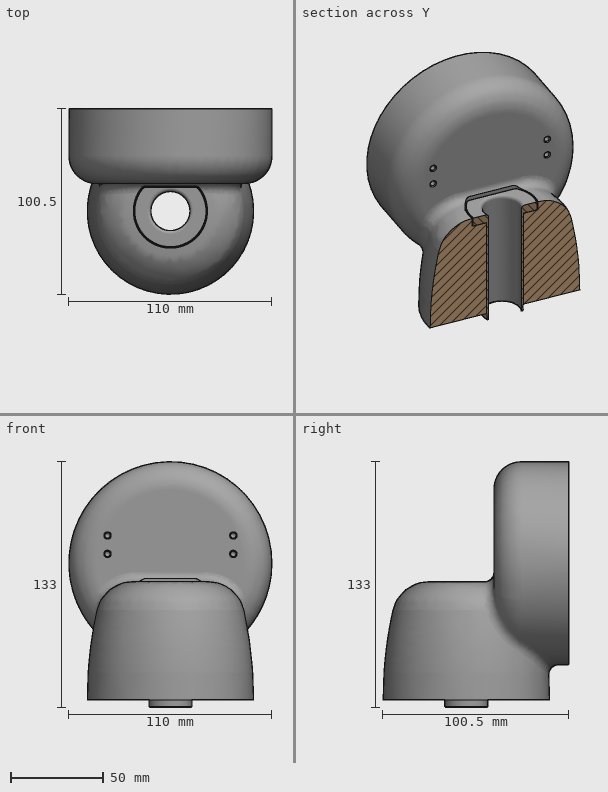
import cadquery as cq
import math


overall_height = 133.0

disk_diameter = 110.0
disk_radius = disk_diameter / 2
disk_front_y = 14.9
disk_depth = 40.5
disk_back_y = disk_front_y + disk_depth
disk_front_round = 14.9
disk_rim_round = 0.4

dome_base_radius = 45.1
dome_base_z = -74.0
dome_lip_height = 0.5
dome_wall_foot_z = dome_base_z + dome_lip_height
dome_top_z = -10.0
dome_wall_radius = 219.5
dome_top_round = 20.0

blend_radius = 5.0
touch_tolerance = 0.001

pilot_mouth_radius = 2.0
pilot_radius = 1.5
pilot_depth = 5.0
pilot_tip_length = 0.8
pilot_x = 34.0
pilot_heights = [5.0, 15.0]

bushing_end_z = disk_radius - overall_height
bushing_hole_radius = 10.5
stem_radius = 11.7
stem_chamfer = 0.5
mouth_round = 2.0
flange_radius = 19.7
flange_flat_y = 13.3
flange_corner_round = 3.3
flange_chamfer = 0.4
flange_thickness = 5.0
flange_gap = 0.4
flange_seat_z = dome_top_z - flange_thickness
recess_corner_round = flange_corner_round + flange_gap
recess_height = flange_thickness + blend_radius


def make_disk():
    """Round disk with a rounded front edge and a softened back rim."""
    disk = (
        cq.Workplane("XZ", origin=(0, disk_back_y, 0))
        .circle(disk_radius)
        .extrude(disk_depth)
    )
    disk = disk.faces("<Y").edges().fillet(disk_front_round)
    return disk.faces(">Y").edges().fillet(disk_rim_round)


def wall_radius_at(z):
    """Dome radius at height z; the wall arc is vertical at its foot."""
    rise = z - dome_wall_foot_z
    return dome_base_radius - dome_wall_radius + math.sqrt(dome_wall_radius**2 - rise**2)


def make_dome():
    """Revolved dome with a short straight lip, a wall that bows inward and a rounded flat top."""
    middle_z = (dome_wall_foot_z + dome_top_z) / 2
    dome = (
        cq.Workplane("XZ")
        .moveTo(0, dome_base_z)
        .lineTo(dome_base_radius, dome_base_z)
        .lineTo(dome_base_radius, dome_wall_foot_z)
        .threePointArc((wall_radius_at(middle_z), middle_z), (wall_radius_at(dome_top_z), dome_top_z))
        .lineTo(0, dome_top_z)
        .close()
        .revolve(360, (0, 0, 0), (0, 1, 0))
    )
    return dome.faces(">Z").edges().fillet(dome_top_round)


def flat_sided_plug(radius, flat_y, corner_round, height):
    """Upright round plug, flat on its +Y side with rounded corners, standing on the flange seat."""
    plug = cq.Workplane("XY", origin=(0, 0, flange_seat_z)).circle(radius).extrude(height)
    flat_cutter = (
        cq.Workplane("XY", origin=(0, flat_y + radius, flange_seat_z))
        .rect(2 * radius, 2 * radius)
        .extrude(height)
    )
    return plug.cut(flat_cutter).edges("|Z and >Y").fillet(corner_round)


def blend_joint(body, parts):
    """Fillet the edges of body that lie on the surfaces of all the joined parts."""
    shells = [part.val().Shells()[0] for part in parts]

    def lies_on_all(edge):
        middle = cq.Vertex.makeVertex(*edge.positionAt(0.5).toTuple())
        return all(shell.distance(middle) < touch_tolerance for shell in shells)

    joint_edges = [edge for edge in body.edges().vals() if lies_on_all(edge)]
    return body.newObject(joint_edges).fillet(blend_radius)


def make_recess():
    """Space for the flange, left open upwards through the blend above it."""
    return flat_sided_plug(
        flange_radius + flange_gap,
        flange_flat_y + flange_gap,
        recess_corner_round,
        recess_height,
    )


def make_pilot(x, z):
    """Cutter for one small blind hole with a chamfered mouth and a conical end."""
    mouth_depth = pilot_mouth_radius - pilot_radius
    return (
        cq.Workplane("XY", origin=(x, disk_front_y, z))
        .lineTo(pilot_mouth_radius, 0)
        .lineTo(pilot_radius, mouth_depth)
        .lineTo(pilot_radius, pilot_depth)
        .lineTo(0, pilot_depth + pilot_tip_length)
        .close()
        .revolve(360, (0, 0, 0), (0, 1, 0))
    )


def make_housing():
    """Disk and dome in one body, bored for the bushing and drilled with the small holes."""
    disk = make_disk()
    dome = make_dome()
    housing = blend_joint(disk.union(dome), [disk, dome])
    stem_bore = (
        cq.Workplane("XY", origin=(0, 0, dome_base_z))
        .circle(stem_radius)
        .extrude(dome_top_z - dome_base_z)
    )
    housing = housing.cut(stem_bore).cut(make_recess())
    for x in (-pilot_x, pilot_x):
        for z in pilot_heights:
            housing = housing.cut(make_pilot(x, z))
    return housing


def make_bushing():
    """Flanged tube with a rounded mouth; its stem ends below the dome."""
    stem = (
        cq.Workplane("XY", origin=(0, 0, bushing_end_z))
        .circle(stem_radius)
        .extrude(flange_seat_z - bushing_end_z)
        .faces("<Z")
        .edges()
        .chamfer(stem_chamfer)
    )
    flange = flat_sided_plug(flange_radius, flange_flat_y, flange_corner_round, flange_thickness)
    flange = flange.faces(">Z").edges().chamfer(flange_chamfer)
    hole = (
        cq.Workplane("XY", origin=(0, 0, bushing_end_z))
        .circle(bushing_hole_radius)
        .extrude(dome_top_z - bushing_end_z)
    )
    bushing = stem.union(flange).cut(hole)
    mouth = bushing.faces(">Z").val().innerWires()[0]
    return bushing.newObject(mouth.Edges()).fillet(mouth_round)


housing = make_housing()
bushing = make_bushing()

result = cq.Compound.makeCompound([housing.solids().val(), bushing.solids().val()])